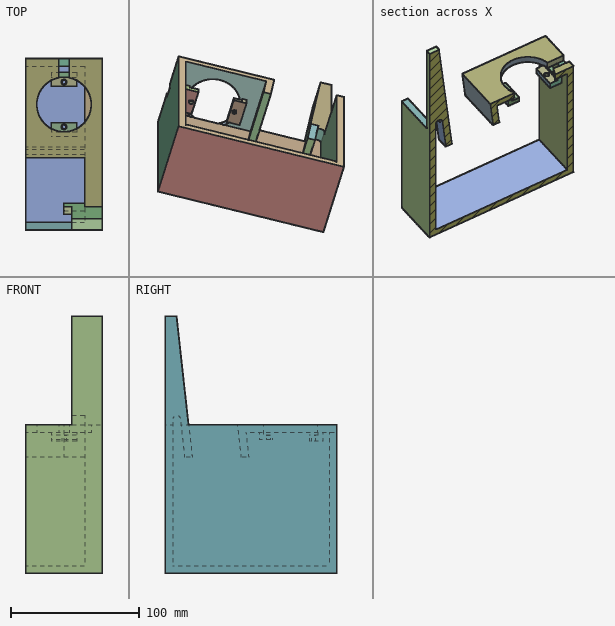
import cadquery as cq
import math

LENGTH_X = 60.0
LENGTH_Y = 133.96
BOX_HEIGHT = 116.0
WALL = 6.0
ROOF = 5.8
CAVITY_DEPTH = 46.0

REST_HEIGHT = 200.64
REST_TOP_DEPTH = 9.0
REST_WIDTH = 24.0
REST_START_X = LENGTH_X - REST_WIDTH

SLOT_DEPTH = 25.0
SLOT_BOTTOM_Z = BOX_HEIGHT - SLOT_DEPTH
SLOT_BOTTOM_Y = 21.1
SLOT_WIDTH = 38.0
SLOT_LEAN = (SLOT_BOTTOM_Y - REST_TOP_DEPTH) / (REST_HEIGHT - SLOT_BOTTOM_Z)
LIP_THICKNESS = 6.0
REST_LIP_START_X = 30.0
REST_LIP_BACK_Y = SLOT_BOTTOM_Y - LIP_THICKNESS
SLOT_FAR_Y = SLOT_BOTTOM_Y + SLOT_WIDTH

RELIEF_TOP_Z = BOX_HEIGHT + 7.3

SOCKET_X = LENGTH_X / 2
SOCKET_Y = LENGTH_Y - 36.0
SOCKET_RADIUS = 21.25
TAB_WIDTH = 20.0
TAB_TOP_DEPTH = 7.8
TAB_INNER_RADIUS = 14.25
TAB_OUTER_RADIUS_BACK = 25.1
TAB_OUTER_RADIUS_FRONT = 24.6
TAB_BOTTOM_DEPTH_BACK = 12.7
TAB_BOTTOM_DEPTH_FRONT = 11.6
SCREW_OFFSET = 17.5
SCREW_DIAMETER_TOP = 4.11
SCREW_DIAMETER_PILOT = 3.33

NOTCH_WIDTH = 8.0
NOTCH_DEPTH = ROOF


def box(x0, x1, y0, y1, z0, z1):
    """Axis-aligned block between two opposite corners."""
    return cq.Workplane("XY").box(x1 - x0, y1 - y0, z1 - z0, centered=False).translate((x0, y0, z0))


def prism(points, x0, x1):
    """Polygon of (Y, Z) points extruded along X from x0 to x1."""
    return cq.Workplane("YZ", origin=(x0, 0, 0)).polyline(points).close().extrude(x1 - x0)


def leaning_y(bottom_y, z):
    """Y at height z of a leaning line that starts from bottom_y at the slot bottom."""
    return bottom_y - SLOT_LEAN * (z - SLOT_BOTTOM_Z)


def leaning_band(near_y, far_y, start_x):
    """Slanted block as deep as the slot, from start_x to the cavity's closed side."""
    outline = [
        (near_y, SLOT_BOTTOM_Z),
        (far_y, SLOT_BOTTOM_Z),
        (leaning_y(far_y, BOX_HEIGHT), BOX_HEIGHT),
        (leaning_y(near_y, BOX_HEIGHT), BOX_HEIGHT),
    ]
    return prism(outline, start_x, CAVITY_DEPTH)


def make_shell():
    """Hollow box with its -X side open."""
    shell = box(0, LENGTH_X, 0, LENGTH_Y, 0, BOX_HEIGHT)
    return shell.cut(box(0, CAVITY_DEPTH, WALL, LENGTH_Y - WALL, WALL, BOX_HEIGHT - ROOF))


def make_roof_opening():
    """Opening in the roof from the -Y wall to the far face of the leaning slot."""
    roof_underside_z = BOX_HEIGHT - ROOF
    outline = [
        (WALL, roof_underside_z),
        (leaning_y(SLOT_FAR_Y, roof_underside_z), roof_underside_z),
        (leaning_y(SLOT_FAR_Y, BOX_HEIGHT), BOX_HEIGHT),
        (WALL, BOX_HEIGHT),
    ]
    return prism(outline, 0, CAVITY_DEPTH)


def make_rest():
    """Tapered back rest, rising from the slot bottom level."""
    outline = [
        (0, SLOT_BOTTOM_Z),
        (SLOT_BOTTOM_Y, SLOT_BOTTOM_Z),
        (REST_TOP_DEPTH, REST_HEIGHT),
        (0, REST_HEIGHT),
    ]
    return prism(outline, REST_START_X, LENGTH_X)


def make_relief():
    """Space behind the rest lip, closed at the top by an arc tangent to both of its sides."""
    lean_angle = math.atan(SLOT_LEAN)
    gap_at_top = leaning_y(REST_LIP_BACK_Y, RELIEF_TOP_Z) - WALL
    radius = gap_at_top / (1 + 1 / math.cos(lean_angle) - SLOT_LEAN)
    centre_y = WALL + radius
    centre_z = RELIEF_TOP_Z - radius
    tangent_y = centre_y + radius * math.cos(lean_angle)
    tangent_z = centre_z + radius * math.sin(lean_angle)
    return (
        cq.Workplane("YZ")
        .moveTo(WALL, SLOT_BOTTOM_Z)
        .lineTo(REST_LIP_BACK_Y, SLOT_BOTTOM_Z)
        .lineTo(tangent_y, tangent_z)
        .threePointArc((centre_y, RELIEF_TOP_Z), (WALL, centre_z))
        .close()
        .extrude(CAVITY_DEPTH)
    )


def make_rest_lip():
    """Lip on the slot side of the relief, below the back rest."""
    return leaning_band(REST_LIP_BACK_Y, SLOT_BOTTOM_Y, REST_LIP_START_X)


def make_roof_lip():
    """Lip that hangs from the roof edge on the far side of the slot."""
    return leaning_band(SLOT_FAR_Y, SLOT_FAR_Y + LIP_THICKNESS, 0)


def radial_block(side, width, inner_radius, outer_radius, top_depth, bottom_depth):
    """Block on the +Y (side = 1) or -Y (side = -1) edge of the socket, at depths below the roof top."""
    near, far = sorted((SOCKET_Y + side * inner_radius, SOCKET_Y + side * outer_radius))
    return box(
        SOCKET_X - width / 2,
        SOCKET_X + width / 2,
        near,
        far,
        BOX_HEIGHT - bottom_depth,
        BOX_HEIGHT - top_depth,
    )


def make_tab(side, outer_radius, bottom_depth):
    """L-shaped screw tab: a shelf inside the socket edge that hangs from the roof by its outer part."""
    shelf = radial_block(side, TAB_WIDTH, TAB_INNER_RADIUS, outer_radius, TAB_TOP_DEPTH, bottom_depth)
    hanger = radial_block(side, TAB_WIDTH, SOCKET_RADIUS, outer_radius, ROOF, bottom_depth)
    return shelf.union(hanger)


def make_screw_hole(side, bottom_depth):
    """Pilot hole through one screw tab, lightly countersunk at 45 degrees."""
    top_radius = SCREW_DIAMETER_TOP / 2
    pilot_radius = SCREW_DIAMETER_PILOT / 2
    countersink_depth = top_radius - pilot_radius
    top = cq.Workplane("XY", origin=(SOCKET_X, SOCKET_Y + side * SCREW_OFFSET, BOX_HEIGHT - TAB_TOP_DEPTH))
    pilot = top.circle(pilot_radius).extrude(TAB_TOP_DEPTH - bottom_depth)
    countersink = top.circle(top_radius).workplane(offset=-countersink_depth).circle(pilot_radius).loft()
    return pilot.union(countersink)


def make_socket():
    """Round opening through the roof."""
    return (
        cq.Workplane("XY", origin=(SOCKET_X, SOCKET_Y, BOX_HEIGHT - ROOF))
        .circle(SOCKET_RADIUS)
        .extrude(ROOF)
    )


def make_notch():
    """Cable notch from the socket out through the +Y wall."""
    return radial_block(1, NOTCH_WIDTH, 0, LENGTH_Y - SOCKET_Y, 0, NOTCH_DEPTH)


result = make_shell().cut(make_roof_opening())
result = result.union(make_rest()).cut(make_relief())
result = result.union(make_rest_lip()).union(make_roof_lip())

tabs = [
    (1, TAB_OUTER_RADIUS_BACK, TAB_BOTTOM_DEPTH_BACK),
    (-1, TAB_OUTER_RADIUS_FRONT, TAB_BOTTOM_DEPTH_FRONT),
]
for side, outer_radius, bottom_depth in tabs:
    result = result.union(make_tab(side, outer_radius, bottom_depth))
    result = result.cut(make_screw_hole(side, bottom_depth))
result = result.cut(make_socket()).cut(make_notch())